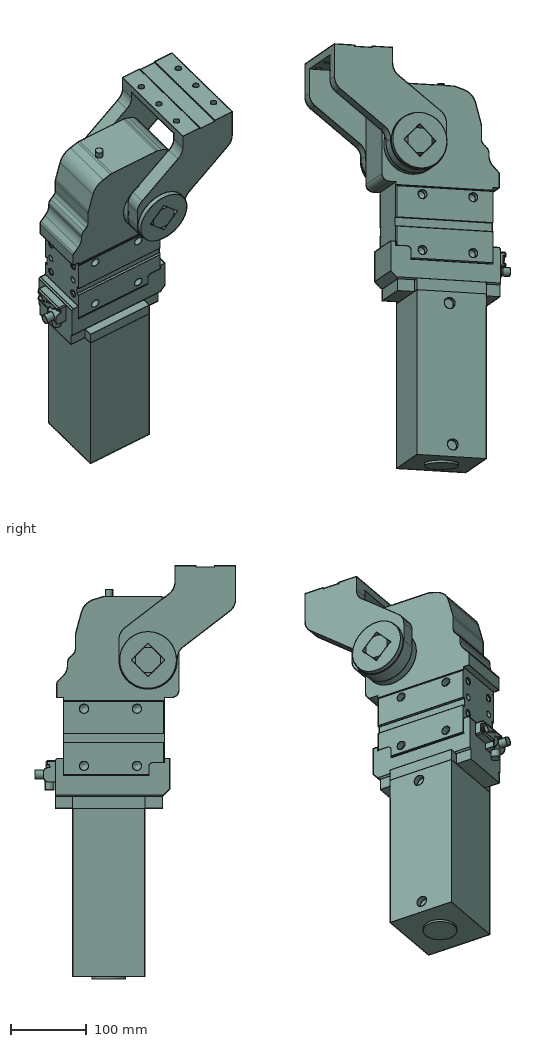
import cadquery as cq
import math


OVERALL_HEIGHT = 545.5
OVERALL_WIDTH = 150.0
BODY_WIDTH = 75.0
PIVOT_Y = 52.0
PIVOT_Z = 421.0

ARM_WIDTH = 137.0
ARM_INNER_WIDTH = 95.5
ARM_BACK_Y = 167.5
PLATE_LENGTH = 80.0
PLATE_THICKNESS = 11.0
ARM_END_DIA = 77.0
ARM_BEND_R = 20.0
ARM_FRONT_BEND_Z = 514.5
ARM_BACK_BEND_Z = 491.5
ARM_SLOPE = 37.5
KEYWAY_WIDTH = 24.0
KEYWAY_DEPTH = 1.5
ARM_HOLE_DIA = 8.0
ARM_HOLE_PITCH_X = 40.0
ARM_HOLE_PITCH_Y = 60.0
CAP_DIA = 75.0
SHAFT_SQUARE = 31.0
SHAFT_CORNER_SPAN = 33.5

HEAD_FRONT_Y = -69.0
HEAD_BACK_Y = 93.0
HEAD_BOTTOM_Z = 371.5
HEAD_TOP_Z = 505.0
ROOF_FRONT_Y = -6.5
ROOF_BACK_Y = 67.5
ROOF_SLOPE = 17.0
NOSE_Y = -33.0
NOSE_R = 25.0
ROOF_BLEND_R = 10.0
HEAD_BACK_TOP_R = 25.0
HEAD_BACK_BOTTOM_R = 10.0
HEAD_FRONT_CORNERS = [
    (HEAD_FRONT_Y, 391.5, 5.0),
    (-54.5, 406.0, 20.0),
    (-54.5, 421.5, 10.0),
    (-44.0, 431.5, 10.0),
    (-44.0, 455.0, 15.0),
]
BUTTON_DIA = 10.0
BUTTON_HEIGHT = 9.5
BUTTON_Y = 0.5

BOX_FRONT_Y = -60.0
BOX_BACK_Y = 73.5
GROOVE_BOTTOM_Z = 312.0
GROOVE_HEIGHT = 12.0
GROOVE_DEPTH = 3.5
PANEL_TOP_Z = 367.5
PANEL_BOTTOM_Z = 268.5
PANEL_NOTCH_Y = 53.0
PANEL_NOTCH_Z = 286.0
PANEL_NOTCH_R = 5.5
PANEL_CHAMFER = 1.5
PANEL_RELIEF = 0.3

BASE_FRONT_Y = -70.5
BASE_BACK_Y = 81.0
BASE_TOP_Z = 291.5
BASE_TOP_CHAMFER = 2.0
NECK_BACK_Y = 71.0
NECK_TOP_Z = 241.0
NECK_STEP = 2.0

TUBE_SIZE = 95.5
TUBE_TOP_Z = 225.5
END_BOSS_DIA = 45.0
END_BOSS_HEIGHT = 3.5
PORT_DIA = 15.0
PORT_DEPTH = 8.0
PORTS_YZ = [(3.0, 210.0), (-1.5, 19.5)]

DRILL_TIP_ANGLE = 118.0
SIDE_HOLE_DIA = 12.0
SIDE_HOLE_DEPTH = 11.0
SIDE_HOLE_YS = (37.0, -33.0)
SIDE_HOLE_ZS = (357.0, 281.5)
FRONT_HOLE_X = 25.0
FRONT_HOLE_MIDDLE_Z = 330.5
FRONT_HOLE_PITCH_Z = 25.0
FRONT_HOLE_DEPTH = 16.5
FRONT_THREAD_DIA = 8.0
FRONT_COUNTERSINK_DIA = 10.5
FRONT_PIN_HOLE_DIA = 9.0

SWITCH_WIDTH = 47.5
SWITCH_BOTTOM_Z = 269.0
SWITCH_TOP_Z = 288.5
SWITCH_DEPTH = 12.5
SWITCH_CORNER_CHAMFER = 1.5
SWITCH_FACE_CHAMFER = 2.0
SCREW_X = 17.5
SCREW_Z = 278.0
SCREW_POCKET_DIA = 10.5
SCREW_POCKET_DEPTH = 5.0
SOCKET_DIA = 5.0
SOCKET_DEPTH = 3.0
LAMP_DIA = 2.0
LAMP_DEPTH = 0.5
LAMPS_XZ = [(-9.0, 277.5), (-3.0, 281.0), (3.5, 283.5)]
ELBOW_LEFT_X = 4.5
ELBOW_BOTTOM_Z = 260.0
ELBOW_TOP_Z = 279.5
ELBOW_DEPTH = 16.0
ELBOW_ROUND = 6.5
FLANGE_LEFT_X = 1.0
PLUG_DIA = 12.0
PLUG_X = 13.5
FRONT_PLUG_Z = 270.0
FRONT_PLUG_END_Y = -97.5
LOWER_PLUG_Y = -78.0
LOWER_PLUG_END_Z = 250.0


def box(x0, x1, y0, y1, z0, z1):
    """Axis-aligned box between the given limits."""
    return cq.Workplane("XY").box(x1 - x0, y1 - y0, z1 - z0, centered=False).translate((x0, y0, z0))


def profile_along_x(points, width):
    """Closed (Y, Z) outline extruded along X, centred on X = 0."""
    return cq.Workplane("YZ").polyline(points).close().extrude(width / 2, both=True)


def edges_along_x(solid, y, z):
    """The X-running edge through (y, z)."""
    near = 0.3
    picker = cq.selectors.BoxSelector(
        (-OVERALL_WIDTH, y - near, z - near), (OVERALL_WIDTH, y + near, z + near)
    )
    return solid.edges("|X").edges(picker)


def round_edges(solid, y, z, radius):
    """Round the X-running edge through (y, z)."""
    return edges_along_x(solid, y, z).fillet(radius)


def drill(point, direction, dia, depth):
    """Blind drilled hole with a conical tip, to be cut away."""
    tip = dia / 2 / math.tan(math.radians(DRILL_TIP_ANGLE / 2))
    start = cq.Vector(*point)
    along = cq.Vector(*direction)
    shank = cq.Solid.makeCylinder(dia / 2, depth, start, along)
    return shank.fuse(cq.Solid.makeCone(dia / 2, 0, tip, start + along * depth, along))


def pivot_disc(dia, width):
    """Cylinder on the pivot axis, centred on X = 0."""
    return cq.Workplane("YZ").center(PIVOT_Y, PIVOT_Z).circle(dia / 2).extrude(width / 2, both=True)


def shaft_square():
    """Square pivot bar standing on a corner, the full width of the clamp."""
    side = SHAFT_SQUARE
    bar = cq.Workplane("YZ").rect(side, side).extrude(OVERALL_WIDTH / 2, both=True)
    return bar.rotate((0, 0, 0), (1, 0, 0), 45).translate((0, PIVOT_Y, PIVOT_Z))


def make_arm():
    end_r = ARM_END_DIA / 2
    front_y = ARM_BACK_Y - PLATE_LENGTH
    end_front_y = PIVOT_Y - end_r
    end_back_y = PIVOT_Y + end_r
    rise = math.tan(math.radians(ARM_SLOPE))
    front_low_z = ARM_FRONT_BEND_Z - (front_y - end_front_y) * rise
    back_low_z = ARM_BACK_BEND_Z - (ARM_BACK_Y - end_back_y) * rise

    bends = [
        (front_y, ARM_FRONT_BEND_Z),
        (end_front_y, front_low_z),
        (end_back_y, back_low_z),
        (ARM_BACK_Y, ARM_BACK_BEND_Z),
    ]
    outline = (
        cq.Workplane("YZ")
        .moveTo(ARM_BACK_Y, OVERALL_HEIGHT)
        .lineTo(front_y, OVERALL_HEIGHT)
        .lineTo(*bends[0])
        .lineTo(*bends[1])
        .lineTo(end_front_y, PIVOT_Z)
        .threePointArc((PIVOT_Y, PIVOT_Z - end_r), (end_back_y, PIVOT_Z))
        .lineTo(*bends[2])
        .lineTo(*bends[3])
        .close()
    )
    arm = outline.extrude(ARM_WIDTH / 2, both=True)
    for y, z in bends:
        arm = round_edges(arm, y, z, ARM_BEND_R)

    arm = arm.union(pivot_disc(CAP_DIA, OVERALL_WIDTH))
    half_gap = ARM_INNER_WIDTH / 2
    arm = arm.cut(box(-half_gap, half_gap, 0, ARM_BACK_Y, 0, OVERALL_HEIGHT - PLATE_THICKNESS))

    plate_y = ARM_BACK_Y - PLATE_LENGTH / 2
    plate_top = cq.Workplane("XY", origin=(0, plate_y, OVERALL_HEIGHT))
    arm = arm.cut(plate_top.rect(ARM_WIDTH, KEYWAY_WIDTH).extrude(-KEYWAY_DEPTH))
    holes = plate_top.rarray(ARM_HOLE_PITCH_X, ARM_HOLE_PITCH_Y, 3, 2).circle(ARM_HOLE_DIA / 2)
    arm = arm.cut(holes.extrude(-ARM_BACK_Y))

    return arm.cut(shaft_square())


def make_head():
    roof_fall = math.tan(math.radians(ROOF_SLOPE))
    nose_z = HEAD_TOP_Z - (ROOF_FRONT_Y - NOSE_Y) * roof_fall
    back_z = HEAD_TOP_Z - (HEAD_BACK_Y - ROOF_BACK_Y) * roof_fall
    corners = [(HEAD_FRONT_Y, HEAD_BOTTOM_Z, 0)]
    corners += HEAD_FRONT_CORNERS
    corners += [
        (NOSE_Y, nose_z, NOSE_R),
        (ROOF_FRONT_Y, HEAD_TOP_Z, ROOF_BLEND_R),
        (ROOF_BACK_Y, HEAD_TOP_Z, ROOF_BLEND_R),
        (HEAD_BACK_Y, back_z, HEAD_BACK_TOP_R),
        (HEAD_BACK_Y, HEAD_BOTTOM_Z, HEAD_BACK_BOTTOM_R),
    ]
    head = profile_along_x([(y, z) for y, z, _ in corners], BODY_WIDTH)
    for y, z, radius in corners:
        if radius:
            head = round_edges(head, y, z, radius)
    button = cq.Workplane("XY", origin=(0, BUTTON_Y, HEAD_TOP_Z)).circle(BUTTON_DIA / 2)
    return head.union(button.extrude(BUTTON_HEIGHT))


def make_base():
    chamfer = BASE_BACK_Y - NECK_BACK_Y
    base = profile_along_x(
        [
            (BASE_FRONT_Y, NECK_TOP_Z),
            (BASE_FRONT_Y, BASE_TOP_Z),
            (BASE_BACK_Y, BASE_TOP_Z),
            (BASE_BACK_Y, NECK_TOP_Z + chamfer),
            (NECK_BACK_Y, NECK_TOP_Z),
        ],
        BODY_WIDTH,
    )
    base = edges_along_x(base, BASE_FRONT_Y, BASE_TOP_Z).chamfer(BASE_TOP_CHAMFER)
    base = base.faces("<Z").edges("|Y").chamfer(NECK_STEP)
    neck_half = BODY_WIDTH / 2 - NECK_STEP
    neck = box(-neck_half, neck_half, BASE_FRONT_Y, NECK_BACK_Y, TUBE_TOP_Z, NECK_TOP_Z)
    flange_half = TUBE_SIZE / 2
    flange = box(-flange_half, flange_half, -flange_half, flange_half, TUBE_TOP_Z, NECK_TOP_Z)
    return base.union(neck).union(flange)


def make_side_panel():
    """Cover panel through the whole width, chamfered along its top, bottom and back."""
    panel = profile_along_x(
        [
            (BOX_FRONT_Y, PANEL_BOTTOM_Z),
            (BOX_FRONT_Y, PANEL_TOP_Z),
            (BOX_BACK_Y, PANEL_TOP_Z),
            (BOX_BACK_Y, PANEL_NOTCH_Z),
            (PANEL_NOTCH_Y, PANEL_NOTCH_Z),
            (PANEL_NOTCH_Y, PANEL_BOTTOM_Z),
        ],
        BODY_WIDTH + 2 * PANEL_RELIEF,
    )
    panel = round_edges(panel, PANEL_NOTCH_Y, PANEL_NOTCH_Z, PANEL_NOTCH_R)
    pocket = panel
    for side in ("<Z", ">Z", ">Y"):
        panel = panel.faces("<X or >X").edges(side).chamfer(PANEL_CHAMFER)
    return pocket, panel


def cut_grooves(body):
    """Long grooves in both X faces of the middle box."""
    for side in (-1, 1):
        groove = cq.Workplane("XY").box(2 * GROOVE_DEPTH, BOX_BACK_Y - BOX_FRONT_Y, GROOVE_HEIGHT)
        groove_y = (BOX_FRONT_Y + BOX_BACK_Y) / 2
        groove_z = GROOVE_BOTTOM_Z + GROOVE_HEIGHT / 2
        body = body.cut(groove.translate((side * BODY_WIDTH / 2, groove_y, groove_z)))
    return body


def drill_housing(body):
    """Four holes in each side panel and six in the front of the middle box."""
    panel_half = BODY_WIDTH / 2 + PANEL_RELIEF
    for side in (-1, 1):
        for y in SIDE_HOLE_YS:
            for z in SIDE_HOLE_ZS:
                hole = drill((side * panel_half, y, z), (-side, 0, 0), SIDE_HOLE_DIA, SIDE_HOLE_DEPTH)
                body = body.cut(cq.Workplane(hole))

    sink_depth = (FRONT_COUNTERSINK_DIA - FRONT_THREAD_DIA) / 2
    for x in (-FRONT_HOLE_X, FRONT_HOLE_X):
        for row in (-1, 0, 1):
            start = (x, BOX_FRONT_Y, FRONT_HOLE_MIDDLE_Z + row * FRONT_HOLE_PITCH_Z)
            dia = FRONT_THREAD_DIA if row else FRONT_PIN_HOLE_DIA
            body = body.cut(cq.Workplane(drill(start, (0, 1, 0), dia, FRONT_HOLE_DEPTH)))
            if row:
                sink = cq.Solid.makeCone(
                    FRONT_COUNTERSINK_DIA / 2, FRONT_THREAD_DIA / 2, sink_depth,
                    cq.Vector(*start), cq.Vector(0, 1, 0),
                )
                body = body.cut(cq.Workplane(sink))
    return body


def make_pivot():
    """Round collars beside the head and square ends with flattened corners in the arm."""
    span = SHAFT_CORNER_SPAN
    limits = cq.Workplane("YZ").center(PIVOT_Y, PIVOT_Z).rect(span, span)
    ends = shaft_square().intersect(limits.extrude(OVERALL_WIDTH / 2, both=True))
    return pivot_disc(ARM_END_DIA, ARM_INNER_WIDTH).union(ends)


def make_housing():
    half = BODY_WIDTH / 2
    body = make_head().union(make_base())
    body = body.union(box(-half, half, BOX_FRONT_Y, BOX_BACK_Y, PANEL_NOTCH_Z, HEAD_BOTTOM_Z))
    pocket, panel = make_side_panel()
    body = body.cut(pocket).union(panel)
    body = drill_housing(cut_grooves(body))
    return body.union(make_pivot())


def make_cylinder():
    tube = (
        cq.Workplane("XY", origin=(0, 0, END_BOSS_HEIGHT))
        .rect(TUBE_SIZE, TUBE_SIZE)
        .extrude(TUBE_TOP_Z - END_BOSS_HEIGHT)
    )
    tube = tube.union(cq.Workplane("XY").circle(END_BOSS_DIA / 2).extrude(END_BOSS_HEIGHT))
    ports = cq.Workplane("YZ", origin=(-TUBE_SIZE / 2, 0, 0)).pushPoints(PORTS_YZ)
    return tube.cut(ports.circle(PORT_DIA / 2).extrude(PORT_DEPTH))


def make_switch():
    half = SWITCH_WIDTH / 2
    face_y = BASE_FRONT_Y - SWITCH_DEPTH
    switch = box(-half, half, face_y, BASE_FRONT_Y, SWITCH_BOTTOM_Z, SWITCH_TOP_Z)
    switch = switch.edges("|Y").chamfer(SWITCH_CORNER_CHAMFER)
    switch = switch.faces("<Y").edges().chamfer(SWITCH_FACE_CHAMFER)

    floor_y = face_y + SCREW_POCKET_DEPTH
    pocket_r = SCREW_POCKET_DIA / 2
    for side in (-1, 1):
        x = side * SCREW_X
        pocket = cq.Workplane("XZ", origin=(x, floor_y, SCREW_Z)).circle(pocket_r)
        socket = cq.Workplane("XZ", origin=(x, floor_y, SCREW_Z)).circle(SOCKET_DIA / 2)
        end_x = side * half
        opening = box(
            min(x, end_x), max(x, end_x), face_y, floor_y, SCREW_Z - pocket_r, SCREW_Z + pocket_r
        )
        switch = switch.cut(pocket.extrude(SCREW_POCKET_DEPTH)).cut(opening)
        switch = switch.cut(socket.extrude(-SOCKET_DEPTH))
    lamps = cq.Workplane("XZ", origin=(0, face_y, 0)).pushPoints(LAMPS_XZ)
    switch = switch.cut(lamps.circle(LAMP_DIA / 2).extrude(-LAMP_DEPTH))

    elbow_y = BASE_FRONT_Y - ELBOW_DEPTH
    elbow = box(ELBOW_LEFT_X, half, elbow_y, BASE_FRONT_Y, ELBOW_BOTTOM_Z, ELBOW_TOP_Z)
    elbow = elbow.faces("<Y").edges("|X").fillet(ELBOW_ROUND)
    flange = box(FLANGE_LEFT_X, ELBOW_LEFT_X, face_y, BASE_FRONT_Y, ELBOW_BOTTOM_Z, SWITCH_BOTTOM_Z)
    front_plug = cq.Workplane("XZ", origin=(PLUG_X, elbow_y + ELBOW_ROUND, FRONT_PLUG_Z))
    front_plug = front_plug.circle(PLUG_DIA / 2).extrude(elbow_y + ELBOW_ROUND - FRONT_PLUG_END_Y)
    lower_plug = cq.Workplane("XY", origin=(PLUG_X, LOWER_PLUG_Y, LOWER_PLUG_END_Z))
    lower_plug = lower_plug.circle(PLUG_DIA / 2).extrude(FRONT_PLUG_Z - LOWER_PLUG_END_Z)
    return switch.union(elbow).union(flange).union(front_plug).union(lower_plug)


arm = make_arm()
housing = make_housing()
cylinder = make_cylinder()
switch = make_switch()

bodies = [arm, housing, cylinder, switch]
result = cq.Compound.makeCompound([body.solids().val() for body in bodies])